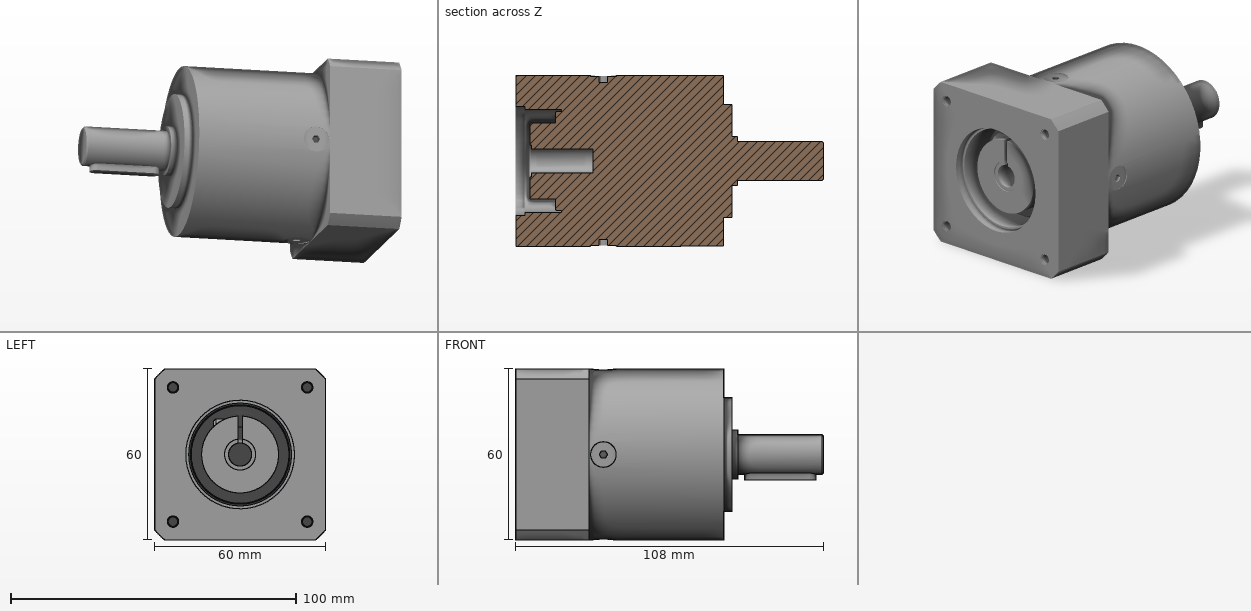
import cadquery as cq
import math


plate_side = 60.0
plate_thickness = 25.8
plate_corner_dia = 80.0
screw_hole_spacing = 47.1
screw_hole_dia = 3.3
screw_mouth_dia = 4.0
screw_mouth_depth = 0.3
screw_hole_depth = 12.0

housing_dia = plate_side
housing_end = 73.0
flange_dia = 40.0
flange_end = 75.9
collar_dia = 17.3
collar_end = 78.0
shaft_dia = 13.9
shaft_end = 108.0
shaft_chamfer = 0.5

key_start = 80.4
key_length = 25.1
key_width = 5.0
key_height = 5.0
key_reach = 9.0

plug_x = 30.8
plug_dia = 9.0
plug_socket_flats = 2.5
plug_socket_depth = 2.0

pilot_dia = 38.1
pilot_depth = 3.1
bore_dia = 36.1
bore_depth = 16.0

hub_dia = 27.0
hub_face = 5.0
hub_back = 13.9
hub_flange_dia = 34.9
hub_flange_chamfer = 0.3
motor_hole_dia = 8.1
motor_hole_depth = 27.0
motor_recess_dia = 10.9
motor_recess_depth = 0.4
slot_width = 1.6
slot_step_radius = 9.6
slot_step = 2.2

clamp_head_x = 10.5
clamp_head_dia = 7.0
clamp_head_end = 9.3
clamp_head_length = 6.5
clamp_head_top = 12.5
clamp_head_chamfer = 0.8


def disc(diameter, start, end):
    """Solid cylinder on the X axis between two X positions."""
    return cq.Workplane("YZ", origin=(start, 0, 0)).circle(diameter / 2).extrude(end - start)


def make_plate():
    """Square plate with rounded-off corners and four recessed blind screw holes."""
    plate = cq.Workplane("YZ").rect(plate_side, plate_side).extrude(plate_thickness)
    plate = plate.intersect(disc(plate_corner_dia, 0, plate_thickness))
    return (
        plate.faces("<X").workplane()
        .rect(screw_hole_spacing, screw_hole_spacing, forConstruction=True)
        .vertices()
        .cboreHole(screw_hole_dia, screw_mouth_dia, screw_mouth_depth, screw_hole_depth)
    )


def make_output_side():
    """Housing, flange, collar and shaft, stepping down along X."""
    shaft = disc(shaft_dia, collar_end, shaft_end).faces(">X").chamfer(shaft_chamfer)
    return (
        disc(housing_dia, plate_thickness, housing_end)
        .union(disc(flange_dia, housing_end, flange_end))
        .union(disc(collar_dia, flange_end, collar_end))
        .union(shaft)
    )


def make_key():
    """Round-ended key set into the underside of the shaft."""
    return (
        cq.Workplane("XY", origin=(key_start + key_length / 2, 0, -key_reach))
        .slot2D(key_length, key_width)
        .extrude(key_height)
    )


def make_plug_cut():
    """Flat seat just deep enough to meet the housing rim, with a hexagon socket (on the +Z side)."""
    seat_height = math.sqrt((housing_dia / 2) ** 2 - (plug_dia / 2) ** 2)
    seat = (
        cq.Workplane("XY", origin=(plug_x, 0, seat_height))
        .circle(plug_dia / 2)
        .extrude(housing_dia / 2 - seat_height)
    )
    socket_corners = plug_socket_flats / math.cos(math.pi / 6)
    socket = (
        cq.Workplane("XY", origin=(plug_x, 0, seat_height))
        .polygon(6, socket_corners)
        .extrude(-plug_socket_depth)
    )
    return seat.union(socket)


def make_slot(bottom, top, end):
    """Radial clamping slot between two heights, from the hub face to an X position."""
    return (
        cq.Workplane("XY", origin=(hub_face, 0, bottom))
        .box(end - hub_face, slot_width, top - bottom, centered=(False, True, False))
    )


def make_hub():
    """Slotted hub on its chamfered flange, joined to the bottom of the bore."""
    flange = disc(hub_flange_dia, hub_back, bore_depth).faces("<X").chamfer(hub_flange_chamfer)
    hub = disc(hub_dia, hub_face, bore_depth).union(flange)
    head_axis = clamp_head_top - clamp_head_dia / 2
    head = (
        cq.Workplane("XZ", origin=(clamp_head_x, clamp_head_end, head_axis))
        .circle(clamp_head_dia / 2)
        .extrude(clamp_head_length)
        .faces(">Y")
        .chamfer(clamp_head_chamfer)
    )
    hub = hub.union(head)
    hub = hub.cut(make_slot(slot_step_radius, hub_dia / 2, hub_back))
    return hub.cut(make_slot(0, slot_step_radius, hub_back - slot_step))


def make_motor_hole():
    """Blind hole for the motor shaft, with a shallow recess at its mouth."""
    hole = disc(motor_hole_dia, hub_face, motor_hole_depth)
    recess = disc(motor_recess_dia, hub_face, hub_face + motor_recess_depth)
    return hole.union(recess)


result = make_plate().union(make_output_side()).union(make_key())
plug_cut = make_plug_cut()
for side in range(4):
    result = result.cut(plug_cut.rotate((0, 0, 0), (1, 0, 0), 90 * side))
result = result.cut(disc(pilot_dia, 0, pilot_depth)).cut(disc(bore_dia, 0, bore_depth))
result = result.union(make_hub()).cut(make_motor_hole())